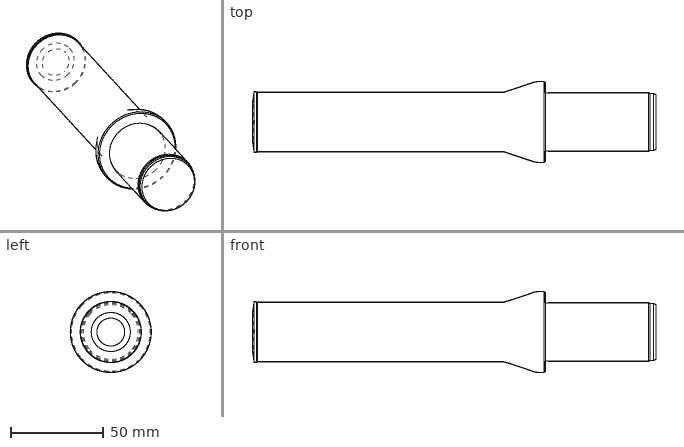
import cadquery as cq

TOTAL_LENGTH = 219.0

INSERT_DIAMETER = 33.3
INSERT_BACK_DIAMETER = 32.8
RIM_START = 0.9
INSERT_END = 2.2
FACE_DIAMETER = 29.8
FACE_RISE = 0.7
CREST_DIAMETER = 21.2
GROOVE_DIAMETER = 15.1
GROOVE_DEPTH = 0.7
BOSS_DIAMETER = 11.4
BOSS_DEPTH = 0.5
CENTRE_DEPTH = 1.0
CENTRE_DIAMETER = 0.9

SEAT_TAPER_LENGTH = 0.7
BODY_DIAMETER = 32.5
BODY_END = 136.2
BLEND_LENGTH = 1.5
BLEND_RISE = 0.5
FLANGE_DIAMETER = 44.0
FLANGE_START = 153.0
FLANGE_END = 159.0
FLANGE_EDGE = 1.5
FLANGE_EDGE_DROP = 0.2
FLANGE_CHAMFER = 0.7

NECK_DIAMETER = 31.5
NECK_END = 161.0
NECK_CONE_LENGTH = 1.3
SHANK_DIAMETER = 32.0
SHANK_END = 215.0
TAIL_CONE_LENGTH = 0.7
TAIL_DIAMETER = 31.0
TAIL_CHAMFER = 1.3
TAIL_CHAMFER_DROP = 0.7


def revolve_profile(stations):
    """Revolve (x, diameter) stations about the X axis."""
    points = [(x, diameter / 2) for x, diameter in stations]
    return cq.Workplane("XY").polyline(points).close().revolve(360, (0, 0), (1, 0))


def make_insert():
    """Disc with a raised crest and concentric conical rings on its face."""
    return revolve_profile([
        (CENTRE_DEPTH, 0),
        (CENTRE_DEPTH, CENTRE_DIAMETER),
        (BOSS_DEPTH, BOSS_DIAMETER),
        (GROOVE_DEPTH, GROOVE_DIAMETER),
        (0, CREST_DIAMETER),
        (FACE_RISE, FACE_DIAMETER),
        (RIM_START, INSERT_DIAMETER),
        (INSERT_END, INSERT_BACK_DIAMETER),
        (INSERT_END, 0),
    ])


def make_holder():
    """Cylindrical body with a conical flange and a stepped shank."""
    return revolve_profile([
        (INSERT_END, 0),
        (INSERT_END, INSERT_BACK_DIAMETER),
        (INSERT_END + SEAT_TAPER_LENGTH, BODY_DIAMETER),
        (BODY_END, BODY_DIAMETER),
        (BODY_END + BLEND_LENGTH, BODY_DIAMETER + 2 * BLEND_RISE),
        (FLANGE_START, FLANGE_DIAMETER - 2 * FLANGE_EDGE_DROP),
        (FLANGE_START + FLANGE_EDGE, FLANGE_DIAMETER),
        (FLANGE_END - FLANGE_CHAMFER, FLANGE_DIAMETER),
        (FLANGE_END, FLANGE_DIAMETER - 2 * FLANGE_CHAMFER),
        (FLANGE_END, NECK_DIAMETER),
        (NECK_END - NECK_CONE_LENGTH, NECK_DIAMETER),
        (NECK_END, SHANK_DIAMETER),
        (SHANK_END, SHANK_DIAMETER),
        (SHANK_END + TAIL_CONE_LENGTH, TAIL_DIAMETER),
        (TOTAL_LENGTH - TAIL_CHAMFER, TAIL_DIAMETER),
        (TOTAL_LENGTH, TAIL_DIAMETER - 2 * TAIL_CHAMFER_DROP),
        (TOTAL_LENGTH, 0),
    ])


insert = make_insert()
holder = make_holder()

result = cq.Compound.makeCompound([insert.val(), holder.val()])